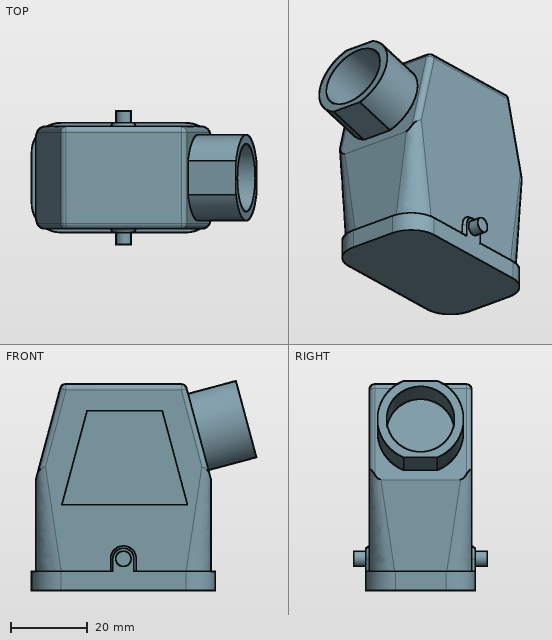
import cadquery as cq
import math

FLANGE_LENGTH = 48.0
FLANGE_WIDTH = 28.7
FLANGE_HEIGHT = 5.0
FLANGE_CORNER_RADIUS = 7.7

LEDGE = 1.1
BODY_LENGTH = FLANGE_LENGTH - 2 * LEDGE
BODY_WIDTH = 26.8
BODY_HEIGHT = 53.95
BREAK_HEIGHT = 29.0
SLOPE_ANGLE = 15.0
EDGE_RADIUS = 1.5

CORNER_RADIUS_BOTTOM = FLANGE_CORNER_RADIUS - LEDGE
CORNER_RADIUS_AT_BREAK = 3.0

OUTLET_DIAMETER = 22.5
OUTLET_BORE = 17.7
OUTLET_ACROSS_FLATS = 20.7
OUTLET_LENGTH = 12.95
OUTLET_ABOVE_BREAK = 12.86
OUTLET_ROOT = 5.0

PIN_DIAMETER = 4.0
PIN_HEIGHT = 8.3
PIN_SPAN = 34.9
PAD_WIDTH = 5.5
PAD_FLARE = 0.6

LABEL_CENTER_X = 0.33
LABEL_BOTTOM = 22.4
LABEL_TOP = 47.0
LABEL_BOTTOM_WIDTH = 32.8
LABEL_DEPTH = 0.5

SLOPE = math.tan(math.radians(SLOPE_ANGLE))


def rounded_rectangle(radius):
    return cq.Sketch().rect(BODY_LENGTH, BODY_WIDTH).vertices().fillet(radius)


def make_flange():
    flange = cq.Workplane("XY").box(FLANGE_LENGTH, FLANGE_WIDTH, FLANGE_HEIGHT, centered=(True, True, False))
    return flange.edges("|Z").fillet(FLANGE_CORNER_RADIUS)


def make_straight_column():
    """Upright column whose corners sharpen from the flange until they reach the edge radius."""
    taper_height = BREAK_HEIGHT - FLANGE_HEIGHT
    shrink_rate = (CORNER_RADIUS_BOTTOM - CORNER_RADIUS_AT_BREAK) / taper_height
    loft_height = (CORNER_RADIUS_BOTTOM - EDGE_RADIUS) / shrink_rate
    lower = (
        cq.Workplane("XY", origin=(0, 0, FLANGE_HEIGHT))
        .placeSketch(
            rounded_rectangle(CORNER_RADIUS_BOTTOM),
            rounded_rectangle(EDGE_RADIUS).moved(cq.Location(cq.Vector(0, 0, loft_height))),
        )
        .loft(ruled=True)
    )
    upper_start = FLANGE_HEIGHT + loft_height
    upper = (
        cq.Workplane("XY", origin=(0, 0, upper_start))
        .placeSketch(rounded_rectangle(EDGE_RADIUS))
        .extrude(BODY_HEIGHT - upper_start)
    )
    return lower.union(upper)


def make_sloped_envelope():
    """Trapezoidal prism with the leaning ends and the rounded upper edges."""
    half_top = BODY_LENGTH / 2 - (BODY_HEIGHT - BREAK_HEIGHT) * SLOPE
    half_base = BODY_LENGTH / 2 + BREAK_HEIGHT * SLOPE
    prism = (
        cq.Workplane("XZ", origin=(0, BODY_WIDTH / 2, 0))
        .polyline([(-half_base, 0), (half_base, 0), (half_top, BODY_HEIGHT), (-half_top, BODY_HEIGHT)])
        .close()
        .extrude(BODY_WIDTH)
    )
    return prism.edges("not <Z").fillet(EDGE_RADIUS)


def outlet_plane():
    """Plane on the +X slope, centred on the outlet axis, with its normal along the axis."""
    angle = math.radians(SLOPE_ANGLE)
    origin = (
        BODY_LENGTH / 2 - OUTLET_ABOVE_BREAK * math.sin(angle),
        0,
        BREAK_HEIGHT + OUTLET_ABOVE_BREAK * math.cos(angle),
    )
    return cq.Plane(origin=origin, xDir=(0, 1, 0), normal=(math.cos(angle), 0, math.sin(angle)))


def make_outlet():
    """Round stub with two flats, rooted inside the body."""
    root = cq.Workplane(outlet_plane()).workplane(offset=-OUTLET_ROOT)
    length = OUTLET_ROOT + OUTLET_LENGTH
    stub = root.circle(OUTLET_DIAMETER / 2).extrude(length)
    flats = root.rect(OUTLET_DIAMETER, OUTLET_ACROSS_FLATS).extrude(length)
    return stub.intersect(flats)


def make_outlet_bore():
    return cq.Workplane(outlet_plane()).circle(OUTLET_BORE / 2).extrude(OUTLET_LENGTH)


def make_pad():
    """Arched pad on the -Y face, flush with the flange and flaring towards the body."""
    radius = PAD_WIDTH / 2
    depth = (FLANGE_WIDTH - BODY_WIDTH) / 2
    flare_angle = math.degrees(math.atan(PAD_FLARE / depth))
    foot = FLANGE_HEIGHT / 2
    return (
        cq.Workplane("XZ", origin=(0, -FLANGE_WIDTH / 2, 0))
        .moveTo(-radius, foot)
        .lineTo(radius, foot)
        .lineTo(radius, PIN_HEIGHT)
        .threePointArc((0, PIN_HEIGHT + radius), (-radius, PIN_HEIGHT))
        .close()
        .extrude(-depth, taper=-flare_angle)
    )


def make_pins():
    return (
        cq.Workplane("XZ", origin=(0, PIN_SPAN / 2, 0))
        .center(0, PIN_HEIGHT)
        .circle(PIN_DIAMETER / 2)
        .extrude(PIN_SPAN)
    )


def make_label_recess():
    half_bottom = LABEL_BOTTOM_WIDTH / 2
    half_top = half_bottom - (LABEL_TOP - LABEL_BOTTOM) * SLOPE
    return (
        cq.Workplane("XZ", origin=(LABEL_CENTER_X, -BODY_WIDTH / 2, 0))
        .polyline(
            [
                (-half_bottom, LABEL_BOTTOM),
                (half_bottom, LABEL_BOTTOM),
                (half_top, LABEL_TOP),
                (-half_top, LABEL_TOP),
            ]
        )
        .close()
        .extrude(-LABEL_DEPTH)
    )


body = make_straight_column().intersect(make_sloped_envelope())
pad = make_pad()
result = (
    body.union(make_flange())
    .union(pad)
    .union(pad.mirror("XZ"))
    .union(make_pins())
    .union(make_outlet())
    .cut(make_outlet_bore())
    .cut(make_label_recess())
)